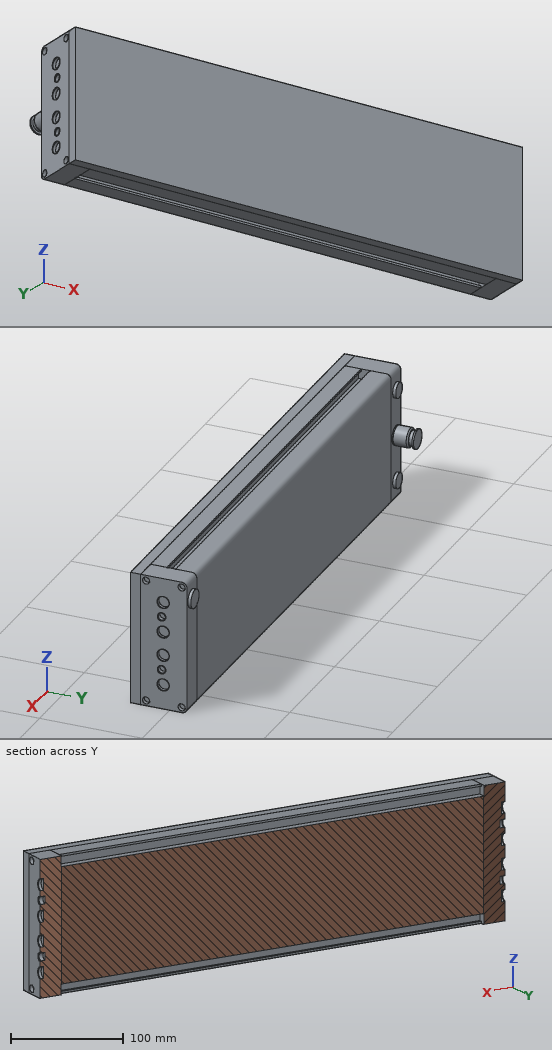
import cadquery as cq

LENGTH = 478.0
HEIGHT = 130.0
PLATE_THICKNESS = 10.0
BODY_BACK = 55.0
CAP_LENGTH = 22.0
BACK_EDGE_RADIUS = 5.0

BODY_DEPTH = BODY_BACK - PLATE_THICKNESS
BODY_MID_Y = (PLATE_THICKNESS + BODY_BACK) / 2
CAP_MID_X = (LENGTH - CAP_LENGTH) / 2

SLOT_WIDTH = 8.5
SLOT_MOUTH_DEPTH = 2.0
SLOT_CHANNEL_WIDTH = 14.0
SLOT_DEPTH = 10.0
SLOT_Y = 30.2

SCREW_INSET_Y = 5.2
SCREW_INSET_Z = 5.3
SCREW_HOLE_DIAMETER = 6.8
SCREW_HOLE_DEPTH = 4.0

PORT_GROUP_Z = 26.3
PORT_SPACING = 29.5
PORT_Y = 31.7
PORT_DIAMETER = 11.8
PORT_DEPTH = 0.6
PORT_BORE_DIAMETER = 11.2
PORT_BORE_DEPTH = 3.5
PILOT_Y = 30.1
PILOT_DIAMETER = 8.0
PILOT_DEPTH = 1.0
PILOT_BORE_DIAMETER = 7.0
PILOT_BORE_DEPTH = 5.0

PLUG_Z = 45.0
PLUG_HEIGHT = 3.0
SMALL_PLUG_DIAMETER = 15.0
LARGE_PLUG_DIAMETER = 18.0

CONNECTOR_HEIGHT = 21.2
CONNECTOR_DIAMETER = 19.0
CONNECTOR_SEAL_HEIGHT = 1.2
CONNECTOR_SEAL_DIAMETER = 18.5
CONNECTOR_BARREL_HEIGHT = 14.0
CONNECTOR_SHOULDER_HEIGHT = 1.5
CONNECTOR_SHOULDER_DIAMETER = 16.5
CONNECTOR_NECK_DIAMETER = 14.5
CONNECTOR_FLANGE_THICKNESS = 1.6


def back_block(length, center_x):
    """Block behind the plate with its two long back edges rounded."""
    block = cq.Workplane("XY").box(length, BODY_DEPTH, HEIGHT)
    block = block.edges("|X and >Y").fillet(BACK_EDGE_RADIUS)
    return block.translate((center_x, BODY_MID_Y, 0))


def cylinder_y(diameter, height, x, y, z):
    """Cylinder standing on the point (x, y, z) and rising toward +Y."""
    return cq.Workplane(cq.Solid.makeCylinder(diameter / 2, height, cq.Vector(x, y, z), cq.Vector(0, 1, 0)))


def end_hole(side, diameter, depth, y, z):
    """Blind hole into the outer end of a cap; side is -1 for left and +1 for right."""
    mouth = cq.Vector(side * LENGTH / 2, y, z)
    return cq.Workplane(cq.Solid.makeCylinder(diameter / 2, depth, mouth, cq.Vector(-side, 0, 0)))


def make_plate():
    plate = cq.Workplane("XY").box(LENGTH, PLATE_THICKNESS, HEIGHT)
    return plate.translate((0, PLATE_THICKNESS / 2, 0))


def make_profile():
    length = LENGTH - 2 * CAP_LENGTH
    profile = back_block(length, 0)
    for side in (-1, 1):
        mouth = cq.Workplane("XY").box(length, SLOT_WIDTH, SLOT_DEPTH)
        mouth_z = side * (HEIGHT - SLOT_DEPTH) / 2
        profile = profile.cut(mouth.translate((0, SLOT_Y, mouth_z)))
        channel = cq.Workplane("XY").box(length, SLOT_CHANNEL_WIDTH, SLOT_DEPTH - SLOT_MOUTH_DEPTH)
        channel_z = side * (HEIGHT - SLOT_MOUTH_DEPTH - SLOT_DEPTH) / 2
        profile = profile.cut(channel.translate((0, SLOT_Y, channel_z)))
    return profile


def make_cap(side):
    """End cap with its corner screw holes and ports; side is -1 for left and +1 for right."""
    cap = back_block(CAP_LENGTH, side * CAP_MID_X)
    for up in (-1, 1):
        screw_z = up * (HEIGHT / 2 - SCREW_INSET_Z)
        for screw_y in (PLATE_THICKNESS + SCREW_INSET_Y, BODY_BACK - SCREW_INSET_Y):
            cap = cap.cut(end_hole(side, SCREW_HOLE_DIAMETER, SCREW_HOLE_DEPTH, screw_y, screw_z))
        group_z = up * PORT_GROUP_Z
        for port_z in (group_z - PORT_SPACING / 2, group_z + PORT_SPACING / 2):
            cap = cap.cut(end_hole(side, PORT_DIAMETER, PORT_DEPTH, PORT_Y, port_z))
            cap = cap.cut(end_hole(side, PORT_BORE_DIAMETER, PORT_BORE_DEPTH, PORT_Y, port_z))
        cap = cap.cut(end_hole(side, PILOT_DIAMETER, PILOT_DEPTH, PILOT_Y, group_z))
        cap = cap.cut(end_hole(side, PILOT_BORE_DIAMETER, PILOT_BORE_DEPTH, PILOT_Y, group_z))
    return cap


def make_connector():
    """Turned connector: seal ring, barrel, conical shoulder, neck and release flange."""
    barrel_radius = CONNECTOR_DIAMETER / 2
    seal_radius = CONNECTOR_SEAL_DIAMETER / 2
    shoulder_radius = CONNECTOR_SHOULDER_DIAMETER / 2
    neck_radius = CONNECTOR_NECK_DIAMETER / 2
    shoulder_top = CONNECTOR_BARREL_HEIGHT + CONNECTOR_SHOULDER_HEIGHT
    flange_base = CONNECTOR_HEIGHT - CONNECTOR_FLANGE_THICKNESS
    half_section = (
        cq.Workplane("XY")
        .lineTo(seal_radius, 0)
        .lineTo(seal_radius, CONNECTOR_SEAL_HEIGHT)
        .lineTo(barrel_radius, CONNECTOR_SEAL_HEIGHT)
        .lineTo(barrel_radius, CONNECTOR_BARREL_HEIGHT)
        .lineTo(shoulder_radius, shoulder_top)
        .lineTo(neck_radius, shoulder_top)
        .lineTo(neck_radius, flange_base)
        .lineTo(barrel_radius, flange_base)
        .lineTo(barrel_radius, CONNECTOR_HEIGHT)
        .lineTo(0, CONNECTOR_HEIGHT)
        .close()
    )
    connector = half_section.revolve(360, (0, 0, 0), (0, 1, 0))
    return connector.translate((-CAP_MID_X, BODY_BACK, 0))


def make_left_cap():
    cap = make_cap(-1).union(make_connector())
    for plug_z in (-PLUG_Z, PLUG_Z):
        cap = cap.union(cylinder_y(SMALL_PLUG_DIAMETER, PLUG_HEIGHT, -CAP_MID_X, BODY_BACK, plug_z))
    return cap


def make_right_cap():
    plug = cylinder_y(LARGE_PLUG_DIAMETER, PLUG_HEIGHT, CAP_MID_X, BODY_BACK, PLUG_Z)
    return make_cap(1).union(plug)


plate = make_plate()
profile = make_profile()
left_cap = make_left_cap()
right_cap = make_right_cap()

result = cq.Compound.makeCompound([plate.val(), profile.val(), left_cap.val(), right_cap.val()])